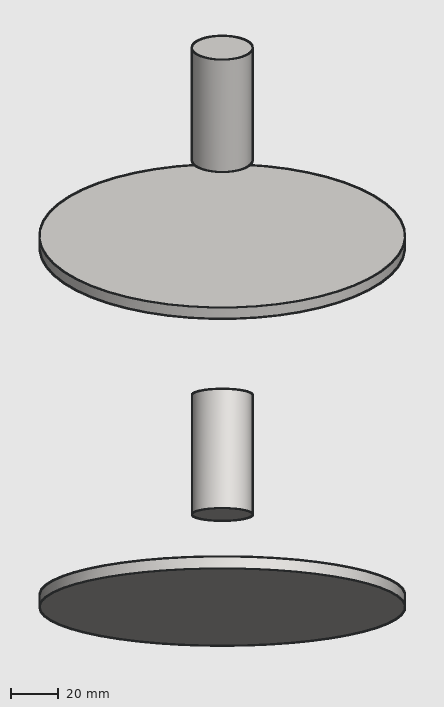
import cadquery as cq

disc_diameter = 152.4
disc_thickness = 5.2
rod_diameter = 25.5
rod_length = 50.9
overall_height = 90.4

rod_bottom = overall_height - rod_length


def make_disc():
    """Flat round plate resting on the XY plane."""
    return cq.Workplane("XY").circle(disc_diameter / 2).extrude(disc_thickness)


def make_rod():
    """Plain upright cylinder, separated from the disc by an open gap."""
    return (
        cq.Workplane("XY")
        .workplane(offset=rod_bottom)
        .circle(rod_diameter / 2)
        .extrude(rod_length)
    )


disc = make_disc()
rod = make_rod()

result = cq.Compound.makeCompound([disc.val(), rod.val()])